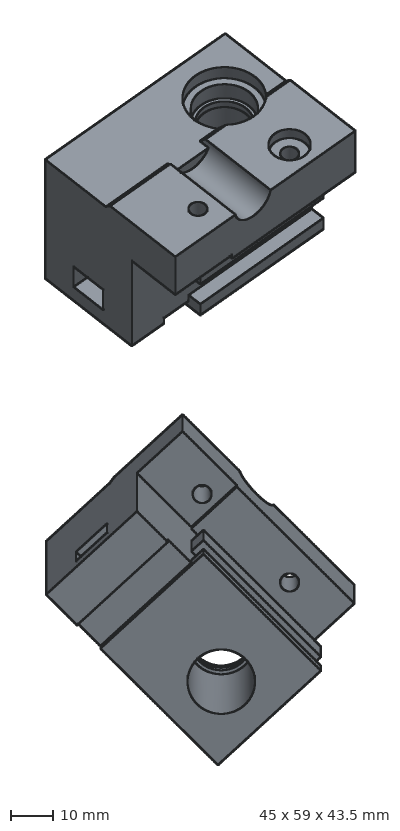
import cadquery as cq
import math

length_x = 45.0
length_y = 59.0
height = 43.5
step_height = 42.0
step_x = 21.0
wall_x = 30.0
overhang_z = 30.1
pad_z = 28.85

rib_start_y = 18.65
rib_reach = 4.0
rib_levels = [(0, 3.95), (11.0, 19.05)]

bore_x = 15.0
hole_y = 44.55
bore_radius = 7.0
bore_steps = [(10.0, 38.1), (8.0, 33.15)]
relief_radius = 8.0
relief_top = 31.15

bolt_x = 37.5
front_bolt_y = 14.5
bolt_radius = 2.25
bolt_head_radius = 5.0
bolt_head_depth = 3.1

trough_start_x = 24.0
trough_y = 25.5
trough_radius = 5.85
trough_axis_z = height + 1.0

nut_width = 10.2
nut_bottom = 4.9
nut_top = 12.05
nut_straight_depth = 11.55
nut_point_depth = nut_width / 2 * math.tan(math.radians(30))

groove_start_y = 10.6
groove_end_y = 18.65
groove_height = 1.9


def box(x0, x1, y0, y1, z0, z1):
    """Box between two opposite corners."""
    return cq.Workplane("XY").box(x1 - x0, y1 - y0, z1 - z0, centered=False).translate((x0, y0, z0))


def cylinder(x, y, radius, z0, z1):
    """Vertical cylinder between two heights."""
    return cq.Workplane("XY", origin=(x, y, z0)).circle(radius).extrude(z1 - z0)


def make_body():
    ramp_top_x = step_x + height - step_height
    profile = [
        (0, 0), (wall_x, 0), (wall_x, overhang_z), (length_x, overhang_z),
        (length_x, height), (ramp_top_x, height), (step_x, step_height), (0, step_height),
    ]
    body = cq.Workplane("XZ").polyline(profile).close().extrude(-length_y)
    body = body.union(box(wall_x, length_x, rib_start_y, length_y, pad_z, overhang_z))
    for bottom, top in rib_levels:
        body = body.union(box(wall_x, wall_x + rib_reach, rib_start_y, length_y, bottom, top))
    return body


def cut_trough(body):
    trough = (
        cq.Workplane("YZ", origin=(trough_start_x, trough_y, trough_axis_z))
        .circle(trough_radius)
        .extrude(length_x - trough_start_x)
    )
    ramp_opening = (
        cq.Workplane("YZ", origin=(step_x, trough_y, trough_axis_z))
        .circle(trough_radius)
        .extrude(trough_start_x - step_x)
        .intersect(box(step_x, trough_start_x, 0, length_y, step_height, height))
    )
    return body.cut(trough).cut(ramp_opening)


def cut_bore(body):
    body = body.cut(cylinder(bore_x, hole_y, bore_radius, 0, height))
    for radius, floor in bore_steps:
        body = body.cut(cylinder(bore_x, hole_y, radius, floor, height))
    return body.cut(cylinder(bore_x, hole_y, relief_radius, 0, relief_top))


def cut_bolt_holes(body):
    for y in (front_bolt_y, hole_y):
        body = body.cut(cylinder(bolt_x, y, bolt_radius, 0, height))
    return body.cut(cylinder(bolt_x, hole_y, bolt_head_radius, height - bolt_head_depth, height))


def cut_nut_pocket(body):
    left = bore_x - nut_width / 2
    right = bore_x + nut_width / 2
    outline = [
        (left, 0), (right, 0), (right, nut_straight_depth),
        (bore_x, nut_straight_depth + nut_point_depth), (left, nut_straight_depth),
    ]
    pocket = (
        cq.Workplane("XY", origin=(0, 0, nut_bottom))
        .polyline(outline).close()
        .extrude(nut_top - nut_bottom)
    )
    return body.cut(pocket)


result = make_body()
result = cut_trough(result)
result = cut_bore(result)
result = cut_bolt_holes(result)
result = cut_nut_pocket(result)
result = result.cut(box(0, length_x, groove_start_y, groove_end_y, 0, groove_height))